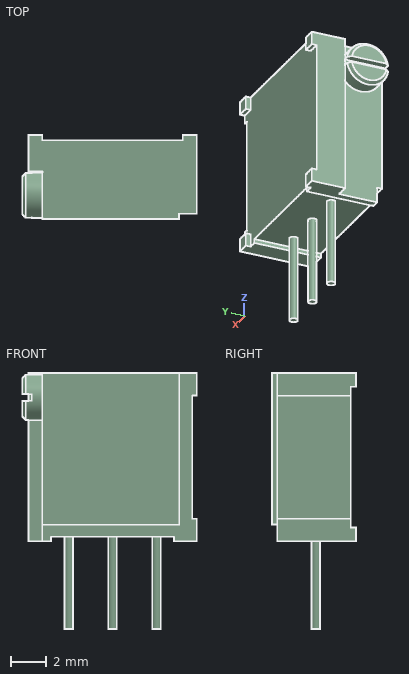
import cadquery as cq

body_width = 9.6
body_depth = 4.8
body_height = 9.6
left_face = -body_width / 2
right_face = body_width / 2

panel_thickness = 0.3
panel_right_margin = 1.0
panel_bottom_margin = 0.95

step_width = 0.8
step_depth = 2.7

pad_width = 0.8
pad_height = 0.8
pad_thickness = 0.3

land_length = 1.3
relief_depth = 0.25

screw_diameter = 2.6
screw_protrusion = 0.35
screw_chamfer = 0.2
screw_slot_width = 0.38
screw_slot_depth = 0.55
screw_y = 1.35
screw_top_distance = 1.4
screw_z = body_height - screw_top_distance

pin_count = 3
pin_diameter = 0.5
pin_pitch = 2.5
pin_length = 5.0
pin_y = 2.5


def box(x_min, x_max, y_min, y_max, z_min, z_max):
    """Axis-aligned box between the given limits."""
    size = (x_max - x_min, y_max - y_min, z_max - z_min)
    return cq.Workplane("XY").box(*size, centered=False).translate((x_min, y_min, z_min))


def make_body():
    """Housing with its front panel, back pads, end lands and screw step."""
    back_face = body_depth - pad_thickness
    body = box(left_face, right_face, panel_thickness, back_face, 0, body_height)

    for x in (left_face, right_face - pad_width):
        for z in (0, body_height - pad_height):
            body = body.union(box(x, x + pad_width, back_face, body_depth, z, z + pad_height))

    panel = box(
        left_face, right_face - panel_right_margin,
        0, panel_thickness,
        panel_bottom_margin, body_height,
    )
    step = box(left_face, left_face + step_width, 0, step_depth, 0, body_height)
    side_relief = box(
        right_face - relief_depth, right_face,
        0, body_depth,
        land_length, body_height - land_length,
    )
    bottom_relief = box(
        left_face + land_length, right_face - land_length,
        0, body_depth,
        0, relief_depth,
    )
    return body.union(panel).cut(step).cut(side_relief).cut(bottom_relief)


def make_screw():
    """Slotted screw head standing on the step face."""
    tip_x = left_face - screw_protrusion
    head_length = screw_protrusion + step_width
    head = (
        cq.Workplane("YZ", origin=(tip_x, screw_y, screw_z))
        .circle(screw_diameter / 2)
        .extrude(head_length)
        .faces("<X")
        .chamfer(screw_chamfer)
    )
    slot = box(
        tip_x, tip_x + screw_slot_depth,
        screw_y - screw_diameter / 2, screw_y + screw_diameter / 2,
        screw_z - screw_slot_width / 2, screw_z + screw_slot_width / 2,
    )
    return head.cut(slot)


def make_pins():
    """Row of round pins hanging from the relieved underside."""
    first_pin_x = -pin_pitch * (pin_count - 1) / 2
    pin_positions = [(first_pin_x + i * pin_pitch, pin_y) for i in range(pin_count)]
    return (
        cq.Workplane("XY")
        .workplane(offset=-pin_length)
        .pushPoints(pin_positions)
        .circle(pin_diameter / 2)
        .extrude(pin_length + relief_depth)
    )


result = make_body().union(make_screw()).union(make_pins())